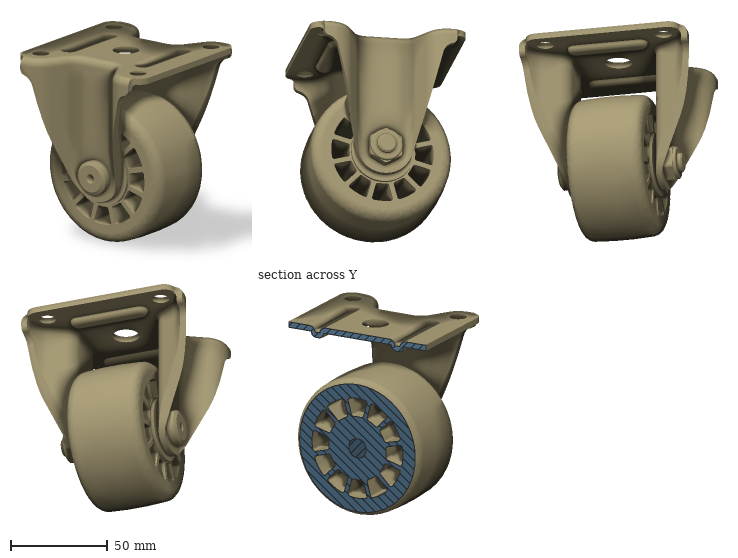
import cadquery as cq
import math

SHEET = 3.2
BEND_RADIUS = 4.0
INNER_BEND_RADIUS = 2.0
PLATE_LENGTH = 82.0
OVERALL_DEPTH = 89.5
OVERALL_HEIGHT = 100.0
PLATE_DEPTH = OVERALL_DEPTH - 2 * BEND_RADIUS
HOLE_SPACING = 63.0
HOLE_DIAMETER = 8.8
CENTER_HOLE_DIAMETER = 14.0

LEG_FLAT_HALF = 9.1
LEG_FLAT_Y = 25.6
WAIST_RADIUS = 6.4
SHOULDER_RADIUS = 13.4
FLARE_ANGLE = 60.0
LEG_END_X = 35.0
RELIEF_RADIUS = 2.0
PLATE_CORNER_RADIUS = PLATE_LENGTH / 2 - LEG_END_X

TIP_RADIUS = 15.0
TIP_Z = -61.0
SIDE_ANGLE = 14.5
EAR_Z = -8.3
EAR_SLOPE = 15.0
EAR_RADIUS = 3.0
NECK_RADIUS = 7.0

GROOVE_X = 23.9
GROOVE_LENGTH = 45.0
GROOVE_WIDTH = 11.2
GROOVE_FLOOR_WIDTH = 5.2
GROOVE_EDGE_RADIUS = (GROOVE_WIDTH - GROOVE_FLOOR_WIDTH) / 2
GROOVE_DEPTH = 3.1
BEAD_WALL = 1.7
BEAD_EDGE_RADIUS = 2.7

WHEEL_RADIUS = 37.5
WHEEL_EDGE_RADIUS = 36.5
WHEEL_WIDTH = 40.0
TREAD_FILLET = 5.0
WHEEL_Z = WHEEL_RADIUS - OVERALL_HEIGHT
HUB_RADIUS = 16.6
HUB_WIDTH = 43.4
SPOKE_COUNT = 12
SPOKE_WIDTH = 2.5
WINDOW_INNER_RADIUS = 17.3
WINDOW_OUTER_RADIUS = 27.0
WINDOW_FILLET = 1.2

AXLE_RADIUS = 5.0
AXLE_END_Y = 34.7
AXLE_END_CHAMFER = 0.8
HEAD_RADIUS = 9.0
HEAD_HEIGHT = 5.3
HEAD_CHAMFER_HEIGHT = 1.2
HEAD_CHAMFER_WIDTH = 1.8
HEAD_DIMPLE_RADIUS = 2.5
NUT_FLATS = 16.8
NUT_CORNER_RADIUS = 9.4
NUT_HEIGHT = 5.0
COLLAR_RADIUS = 8.4
COLLAR_HEIGHT = 1.7
COLLAR_FILLET = 0.8


def y_cylinder(radius, y_start, y_end):
    """Cylinder on the wheel axis between two Y positions."""
    return cq.Workplane(
        obj=cq.Solid.makeCylinder(radius, y_end - y_start, cq.Vector(0, y_start, WHEEL_Z), cq.Vector(0, 1, 0))
    )


def leg_outline(inset, end_x):
    """Closed plan outline between the two legs, moved inward by `inset` and ending at |x| = end_x."""
    flare = math.radians(FLARE_ANGLE)
    waist_radius = WAIST_RADIUS + inset
    shoulder_radius = SHOULDER_RADIUS - inset
    flat_y = LEG_FLAT_Y - inset
    end_y = OVERALL_DEPTH / 2 - inset
    rise = end_y - flat_y
    flare_length = (rise - (waist_radius + shoulder_radius) * (1 - math.cos(flare))) / math.sin(flare)

    def on_waist(angle):
        return (
            LEG_FLAT_HALF + waist_radius * math.sin(angle),
            flat_y + waist_radius * (1 - math.cos(angle)),
        )

    waist_end = on_waist(flare)
    flare_end = (
        waist_end[0] + flare_length * math.cos(flare),
        waist_end[1] + flare_length * math.sin(flare),
    )
    shoulder_x = flare_end[0] + shoulder_radius * math.sin(flare)

    def on_shoulder(angle):
        return (
            shoulder_x - shoulder_radius * math.sin(angle),
            end_y - shoulder_radius * (1 - math.cos(angle)),
        )

    quarter = (
        cq.Workplane("XY")
        .moveTo(0, 0)
        .lineTo(0, flat_y)
        .lineTo(LEG_FLAT_HALF, flat_y)
        .threePointArc(on_waist(flare / 2), waist_end)
        .lineTo(*flare_end)
        .threePointArc(on_shoulder(flare / 2), (shoulder_x, end_y))
        .lineTo(end_x, end_y)
        .lineTo(end_x, 0)
        .close()
        .extrude(WHEEL_Z + TIP_Z)
    )
    half = quarter.union(quarter.mirror("YZ"))
    return half.union(half.mirror("XZ")).clean()


def make_channel():
    """Waisted plate bent down into two corrugated legs, before the legs are trimmed."""
    relief_x = LEG_END_X + RELIEF_RADIUS
    outside = leg_outline(0, relief_x).faces(">Z").edges("not |Y").fillet(BEND_RADIUS)
    inside = leg_outline(SHEET, relief_x).faces(">Z").edges("not |Y").fillet(INNER_BEND_RADIUS)
    inside = inside.translate((0, 0, -SHEET))
    return outside.cut(inside)


def make_leg_trim():
    """Prism along Y that trims both legs to their tapered outline with a round tip."""
    lean = math.radians(SIDE_ANGLE)
    slope = math.tan(math.radians(EAR_SLOPE))
    side_x_at_top = TIP_RADIUS / math.cos(lean) - TIP_Z * math.tan(lean)
    neck_z = (EAR_Z + slope * (side_x_at_top - LEG_END_X)) / (1 - slope * math.tan(lean))
    neck_x = side_x_at_top + neck_z * math.tan(lean)
    tangent_x = TIP_RADIUS * math.cos(lean)
    tangent_z = TIP_Z - TIP_RADIUS * math.sin(lean)
    trim = (
        cq.Workplane("XZ")
        .moveTo(-LEG_END_X, 0)
        .lineTo(LEG_END_X, 0)
        .lineTo(LEG_END_X, EAR_Z)
        .lineTo(neck_x, neck_z)
        .lineTo(tangent_x, tangent_z)
        .threePointArc((0, TIP_Z - TIP_RADIUS), (-tangent_x, tangent_z))
        .lineTo(-neck_x, neck_z)
        .lineTo(-LEG_END_X, EAR_Z)
        .close()
        .extrude(OVERALL_DEPTH / 2, both=True)
    )
    for side in (-1, 1):
        trim = trim.edges(cq.NearestToPointSelector((side * LEG_END_X, 0, EAR_Z))).fillet(EAR_RADIUS)
        trim = trim.edges(cq.NearestToPointSelector((side * neck_x, 0, neck_z))).fillet(NECK_RADIUS)
    return trim


def make_relief_trim():
    """Prism that keeps the plan fillets between the leg ends and the rounded plate corners."""
    corner_y = PLATE_DEPTH / 2 - PLATE_CORNER_RADIUS
    reach = PLATE_CORNER_RADIUS + RELIEF_RADIUS
    center_x = LEG_END_X + RELIEF_RADIUS
    center_y = corner_y + math.sqrt(reach**2 - RELIEF_RADIUS**2)
    touch_angle = math.atan2(corner_y - center_y, LEG_END_X - center_x)

    def on_relief(angle):
        return (
            center_x + RELIEF_RADIUS * math.cos(angle),
            center_y + RELIEF_RADIUS * math.sin(angle),
        )

    touch = on_relief(touch_angle)
    arc_middle = on_relief((touch_angle - math.pi) / 2)
    half = (
        cq.Workplane("XY")
        .moveTo(LEG_END_X, -center_y)
        .lineTo(LEG_END_X, center_y)
        .threePointArc(arc_middle, touch)
        .lineTo(touch[0], -touch[1])
        .threePointArc((arc_middle[0], -arc_middle[1]), (LEG_END_X, -center_y))
        .close()
        .extrude(-SHEET - INNER_BEND_RADIUS)
    )
    return half.union(half.mirror("YZ"))


def make_plate_ends():
    """The two ends of the plate, which reach past the legs with rounded corners."""
    end_length = PLATE_LENGTH / 2 - LEG_END_X + RELIEF_RADIUS
    ends = (
        cq.Workplane("XY")
        .rect(PLATE_LENGTH, PLATE_DEPTH)
        .extrude(-SHEET)
        .edges("|Z")
        .fillet(PLATE_CORNER_RADIUS)
    )
    middle = cq.Workplane("XY").rect(PLATE_LENGTH - 2 * end_length, PLATE_DEPTH).extrude(-SHEET)
    return ends.cut(middle)


def make_bead(x):
    """Raised bead under the plate, below one groove."""
    width = GROOVE_FLOOR_WIDTH + 2 * BEAD_WALL
    length = GROOVE_LENGTH - GROOVE_WIDTH + width
    return (
        cq.Workplane("XY")
        .center(x, 0)
        .slot2D(length, width, 90)
        .extrude(-SHEET - GROOVE_DEPTH)
        .faces("<Z")
        .edges()
        .fillet(BEAD_EDGE_RADIUS)
    )


def make_groove(x):
    """Cutter for one groove, whose walls curve out into the top of the plate."""
    floor_length = GROOVE_LENGTH - 2 * GROOVE_EDGE_RADIUS
    groove = cq.Workplane("XY").center(x, 0).slot2D(floor_length, GROOVE_FLOOR_WIDTH, 90).extrude(-GROOVE_DEPTH)
    lip = (
        cq.Workplane("XY")
        .center(x, 0)
        .slot2D(GROOVE_LENGTH, GROOVE_WIDTH, 90)
        .extrude(-GROOVE_EDGE_RADIUS)
    )
    rail = cq.Workplane("XY", origin=(x, 0, -GROOVE_EDGE_RADIUS)).slot2D(GROOVE_LENGTH, GROOVE_WIDTH, 90)
    rounding = (
        cq.Workplane("XZ", origin=(x + GROOVE_WIDTH / 2, 0, -GROOVE_EDGE_RADIUS))
        .circle(GROOVE_EDGE_RADIUS)
        .sweep(rail)
    )
    return lip.cut(rounding).union(groove)


def make_bracket():
    trim = make_leg_trim().union(make_relief_trim())
    bracket = make_channel().intersect(trim).union(make_plate_ends())
    for x in (-GROOVE_X, GROOVE_X):
        bracket = bracket.union(make_bead(x)).cut(make_groove(x))
    bolt_holes = (
        cq.Workplane("XY").rect(HOLE_SPACING, HOLE_SPACING, forConstruction=True).vertices()
        .circle(HOLE_DIAMETER / 2).extrude(-SHEET)
    )
    center_hole = cq.Workplane("XY").circle(CENTER_HOLE_DIAMETER / 2).extrude(-SHEET)
    axle_holes = y_cylinder(AXLE_RADIUS, -LEG_FLAT_Y, LEG_FLAT_Y)
    return bracket.cut(bolt_holes).cut(center_hole).cut(axle_holes)


def make_window():
    """One opening between two parallel-sided spokes, centred below the axle."""
    half_pitch = math.pi / SPOKE_COUNT
    edge_offset = SPOKE_WIDTH / 2
    corners = []
    for radius in (WINDOW_INNER_RADIUS, WINDOW_OUTER_RADIUS):
        angle = half_pitch - math.asin(edge_offset / radius)
        corners.append((radius * math.sin(angle), -radius * math.cos(angle)))
    (inner_x, inner_z), (outer_x, outer_z) = corners
    return (
        cq.Workplane("XZ", origin=(0, 0, WHEEL_Z))
        .moveTo(-inner_x, inner_z)
        .threePointArc((0, -WINDOW_INNER_RADIUS), (inner_x, inner_z))
        .lineTo(outer_x, outer_z)
        .threePointArc((0, -WINDOW_OUTER_RADIUS), (-outer_x, outer_z))
        .close()
        .extrude(WHEEL_WIDTH / 2, both=True)
        .edges("|Y")
        .fillet(WINDOW_FILLET)
    )


def make_wheel():
    half_width = WHEEL_WIDTH / 2
    wheel = (
        cq.Workplane("XY")
        .moveTo(0, -half_width)
        .lineTo(WHEEL_EDGE_RADIUS, -half_width)
        .threePointArc((WHEEL_RADIUS, 0), (WHEEL_EDGE_RADIUS, half_width))
        .lineTo(0, half_width)
        .close()
        .revolve(360, (0, 0, 0), (0, 1, 0))
        .translate((0, 0, WHEEL_Z))
    )
    wheel = wheel.faces("<Y or >Y").edges().fillet(TREAD_FILLET)
    wheel = wheel.union(y_cylinder(HUB_RADIUS, -HUB_WIDTH / 2, HUB_WIDTH / 2))
    window = make_window()
    for index in range(SPOKE_COUNT):
        turn = index * 360 / SPOKE_COUNT
        wheel = wheel.cut(window.rotate((0, 0, WHEEL_Z), (0, 1, WHEEL_Z), turn))
    return wheel.cut(y_cylinder(AXLE_RADIUS, -HUB_WIDTH / 2, HUB_WIDTH / 2))


def make_axle():
    """Bolt through the legs and wheel, with a round head at -Y and a collared hex nut at +Y."""
    shank = y_cylinder(AXLE_RADIUS, -LEG_FLAT_Y, AXLE_END_Y).faces(">Y").chamfer(AXLE_END_CHAMFER)
    head_end_y = -LEG_FLAT_Y - HEAD_HEIGHT
    head = (
        y_cylinder(HEAD_RADIUS, head_end_y, -LEG_FLAT_Y)
        .faces("<Y").edges().chamfer(HEAD_CHAMFER_HEIGHT, HEAD_CHAMFER_WIDTH)
    )
    dimple = cq.Solid.makeCone(
        HEAD_DIMPLE_RADIUS, 0, HEAD_DIMPLE_RADIUS, cq.Vector(0, head_end_y, WHEEL_Z), cq.Vector(0, 1, 0)
    )
    sharp_corner_diameter = NUT_FLATS / math.cos(math.pi / 6)
    nut = (
        cq.Workplane("XZ", origin=(0, LEG_FLAT_Y, WHEEL_Z))
        .transformed(rotate=(0, 0, 30))
        .polygon(6, sharp_corner_diameter)
        .extrude(-NUT_HEIGHT)
    )
    collar_start_y = LEG_FLAT_Y + NUT_HEIGHT
    nut = nut.intersect(y_cylinder(NUT_CORNER_RADIUS, LEG_FLAT_Y, collar_start_y))
    collar = (
        y_cylinder(COLLAR_RADIUS, collar_start_y, collar_start_y + COLLAR_HEIGHT)
        .faces(">Y").edges().fillet(COLLAR_FILLET)
    )
    return shank.union(head).union(nut).union(collar).cut(cq.Workplane(obj=dimple))


bracket = make_bracket()
wheel = make_wheel()
axle = make_axle()

result = cq.Compound.makeCompound(
    [bracket.solids().val(), wheel.solids().val(), axle.solids().val()]
)